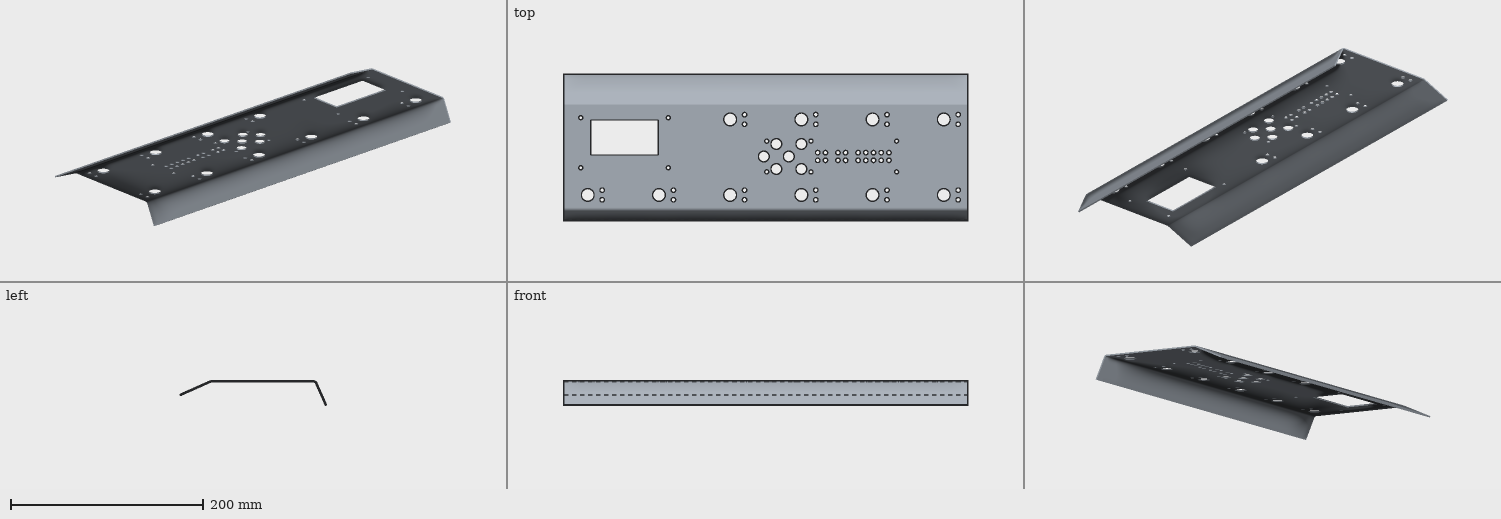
import cadquery as cq
import math

PANEL_LENGTH = 420.0
FLAT_WIDTH = 106.59
THICKNESS = 1.5
OUTER_BEND_RADIUS = 3.5
BACK_FLANGE_LENGTH = 34.0
BACK_BEND_ANGLE = 24.0
FRONT_FLANGE_LENGTH = 25.0
FRONT_BEND_ANGLE = 66.0

SWITCH_DIAMETER = 13.0
SWITCH_PITCH = 74.0
SWITCH_COLUMNS = 6
UPPER_ROW_FIRST_COLUMN = 2
SWITCH_ROW_SPACING = 78.5
SWITCH_CENTER_Y = -0.55
INDICATOR_DIAMETER = 4.5
INDICATOR_OFFSET = 15.0
INDICATOR_SPACING = 10.0

SCREW_DIAMETER = 4.0

DISPLAY_X = -146.75
WINDOW_LENGTH = 70.0
WINDOW_WIDTH = 36.0
WINDOW_Y = 20.0
DISPLAY_SCREW_SPAN_X = 91.0
DISPLAY_SCREW_SPAN_Y = 52.0
DISPLAY_SCREW_Y = 14.5

BOARD_CENTER_Y = 0.2

BUTTON_DIAMETER = 11.0
BUTTON_PITCH = 26.0
BUTTON_LEFT_X = -2.0
BUTTONS_PER_ROW = 2

LAMP_PITCH = 8.0
LAMP_GROUP_GAP = 13.0
LAMP_GROUP_SIZES = (2, 2, 5)
LAMP_FIRST_X = 54.0

BOARD_SCREW_XS = (1.0, 47.0, 136.0)
BOARD_SCREW_SPAN_Y = 32.0


def flange(side, length, bend_angle):
    """Bend and straight flange on the +Y (side = 1) or -Y (side = -1) edge of the flat."""
    angle = math.radians(bend_angle)
    bend_y = FLAT_WIDTH / 2
    bend_z = -OUTER_BEND_RADIUS
    inner_radius = OUTER_BEND_RADIUS - THICKNESS

    def bend_point(radius, turn):
        return side * (bend_y + radius * math.sin(turn)), bend_z + radius * math.cos(turn)

    def tip_point(radius):
        y, z = bend_point(radius, angle)
        return y + side * length * math.cos(angle), z - length * math.sin(angle)

    return (
        cq.Workplane("YZ")
        .moveTo(*bend_point(OUTER_BEND_RADIUS, 0))
        .threePointArc(bend_point(OUTER_BEND_RADIUS, angle / 2), bend_point(OUTER_BEND_RADIUS, angle))
        .lineTo(*tip_point(OUTER_BEND_RADIUS))
        .lineTo(*tip_point(inner_radius))
        .lineTo(*bend_point(inner_radius, angle))
        .threePointArc(bend_point(inner_radius, angle / 2), bend_point(inner_radius, 0))
        .close()
        .extrude(PANEL_LENGTH / 2, both=True)
    )


def bent_sheet():
    flat = cq.Workplane("XY").box(PANEL_LENGTH, FLAT_WIDTH, THICKNESS).translate((0, 0, -THICKNESS / 2))
    back = flange(1, BACK_FLANGE_LENGTH, BACK_BEND_ANGLE)
    front = flange(-1, FRONT_FLANGE_LENGTH, FRONT_BEND_ANGLE)
    return flat.union(back).union(front)


def drill(sheet, points, diameter):
    """Through holes in the flat panel at the given XY points."""
    cutters = cq.Workplane("XY").pushPoints(points).circle(diameter / 2).extrude(-THICKNESS)
    return sheet.cut(cutters)


def switch_points():
    first_x = -SWITCH_PITCH * (SWITCH_COLUMNS - 1) / 2
    columns = [first_x + i * SWITCH_PITCH for i in range(SWITCH_COLUMNS)]
    lower_y = SWITCH_CENTER_Y - SWITCH_ROW_SPACING / 2
    upper_y = SWITCH_CENTER_Y + SWITCH_ROW_SPACING / 2
    lower_row = [(x, lower_y) for x in columns]
    upper_row = [(x, upper_y) for x in columns[UPPER_ROW_FIRST_COLUMN:]]
    return lower_row + upper_row


def indicator_points():
    return [
        (x + INDICATOR_OFFSET, y + side * INDICATOR_SPACING / 2)
        for x, y in switch_points()
        for side in (-1, 1)
    ]


def display_screw_points():
    return [
        (DISPLAY_X + i * DISPLAY_SCREW_SPAN_X / 2, DISPLAY_SCREW_Y + j * DISPLAY_SCREW_SPAN_Y / 2)
        for i in (-1, 1)
        for j in (-1, 1)
    ]


def button_points():
    points = []
    for row in (-1, 0, 1):
        shift = abs(row) * BUTTON_PITCH / 2
        for i in range(BUTTONS_PER_ROW):
            x = BUTTON_LEFT_X + shift + i * BUTTON_PITCH
            points.append((x, BOARD_CENTER_Y + row * BUTTON_PITCH / 2))
    return points


def lamp_points():
    points = []
    x = LAMP_FIRST_X
    for size in LAMP_GROUP_SIZES:
        for i in range(size):
            for side in (-1, 1):
                points.append((x + i * LAMP_PITCH, BOARD_CENTER_Y + side * LAMP_PITCH / 2))
        x += (size - 1) * LAMP_PITCH + LAMP_GROUP_GAP
    return points


def board_screw_points():
    return [
        (x, BOARD_CENTER_Y + side * BOARD_SCREW_SPAN_Y / 2)
        for x in BOARD_SCREW_XS
        for side in (-1, 1)
    ]


def cut_window(sheet):
    window = (
        cq.Workplane("XY")
        .center(DISPLAY_X, WINDOW_Y)
        .rect(WINDOW_LENGTH, WINDOW_WIDTH)
        .extrude(-THICKNESS)
    )
    return sheet.cut(window)


result = bent_sheet()
result = cut_window(result)
result = drill(result, switch_points(), SWITCH_DIAMETER)
result = drill(result, indicator_points(), INDICATOR_DIAMETER)
result = drill(result, display_screw_points(), SCREW_DIAMETER)
result = drill(result, button_points(), BUTTON_DIAMETER)
result = drill(result, lamp_points(), INDICATOR_DIAMETER)
result = drill(result, board_screw_points(), SCREW_DIAMETER)